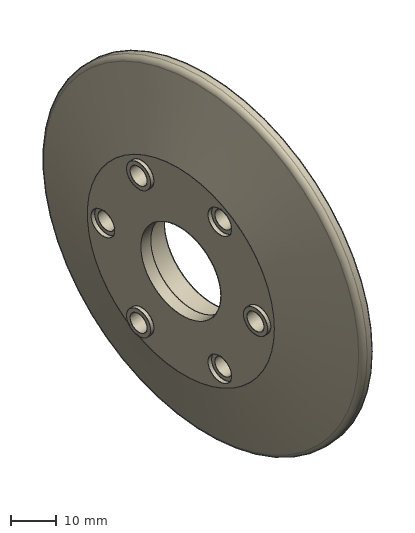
import cadquery as cq
import math

outer_diameter = 98.43
face_diameter = 57.15
rim_width = 1.5875
rim_radius = 1.5875
cone_angle = math.radians(18)

rim_turn = math.pi / 2 - cone_angle
cone_start_depth = rim_width + rim_radius * math.sin(rim_turn)
cone_start_radius = outer_diameter / 2 - rim_radius * (1 - math.cos(rim_turn))
cone_height = (cone_start_radius - face_diameter / 2) * math.tan(cone_angle)
disc_thickness = cone_start_depth + cone_height

bore_diameter = 24.43
bore_recess_diameter = 28.55
bore_recess_depth = 6.35

hole_count = 6
hole_circle_diameter = 47.625
hole_diameter = 5.18
boss_diameter = 7.37
boss_height = 1.016
socket_diameter = 7.21
socket_depth = 1.12
total_thickness = disc_thickness + boss_height


def cylinder(diameter, back_depth, front_depth, x=0.0, z=0.0):
    """Cylinder along Y between two distances in front of the back face."""
    base = cq.Workplane("XZ", origin=(x, -back_depth, z))
    return base.circle(diameter / 2).extrude(front_depth - back_depth)


def make_disc():
    """Conical disc with a rounded rim."""
    outer_radius = outer_diameter / 2
    profile = (
        cq.Workplane("XY")
        .lineTo(outer_radius, 0)
        .lineTo(outer_radius, -rim_width)
        .tangentArcPoint((cone_start_radius, -cone_start_depth), relative=False)
        .lineTo(face_diameter / 2, -disc_thickness)
        .lineTo(0, -disc_thickness)
        .close()
    )
    return profile.revolve(360, (0, 0, 0), (0, 1, 0))


def cut_bore(body):
    """Central through bore with a wider recess from the back."""
    body = body.cut(cylinder(bore_diameter, 0, disc_thickness))
    return body.cut(cylinder(bore_recess_diameter, 0, bore_recess_depth))


def hole_centre(index):
    """X and Z of one hole on the hole circle."""
    radius = hole_circle_diameter / 2
    angle = 2 * math.pi * index / hole_count
    return radius * math.cos(angle), radius * math.sin(angle)


def add_boss(body, x, z):
    """Raised boss on the front face."""
    return body.union(cylinder(boss_diameter, disc_thickness, total_thickness, x, z))


def cut_socket(body, x, z):
    """Shallow round recess in the front face."""
    return body.cut(cylinder(socket_diameter, disc_thickness - socket_depth, disc_thickness, x, z))


def cut_hole(body, x, z):
    """Through hole along Y."""
    return body.cut(cylinder(hole_diameter, 0, total_thickness, x, z))


result = cut_bore(make_disc())
for hole_index in range(hole_count):
    centre_x, centre_z = hole_centre(hole_index)
    if hole_index % 2 == 0:
        result = add_boss(result, centre_x, centre_z)
    else:
        result = cut_socket(result, centre_x, centre_z)
    result = cut_hole(result, centre_x, centre_z)